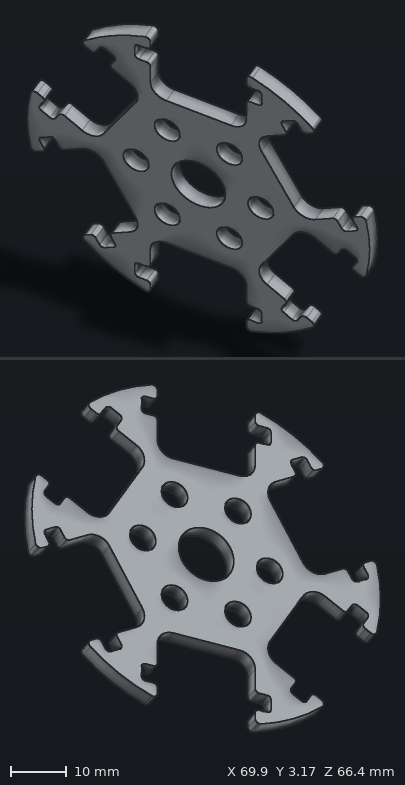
import cadquery as cq
import math

plate_thickness = 3.175
outer_radius = 34.925
arm_count = 6
arm_pitch = 360.0 / arm_count

pocket_half_width = 9.78
pocket_floor_distance = 18.6
pocket_corner_radius = 3.175

notch_depth = 3.175
notch_inner_distance = 26.7
notch_width = 3.6
tip_radius = 0.9
notch_radius = 0.8

centre_hole_diameter = 11.0
bolt_hole_diameter = 5.2
bolt_circle_radius = 12.7

cut_length = 2.0 * plate_thickness
pocket_open_end = outer_radius + plate_thickness


def block(x_size, y_size, z_low, z_high):
    """Box centred on X and Y, spanning z_low to z_high."""
    height = z_high - z_low
    return cq.Workplane("XY").box(x_size, y_size, height).translate((0, 0, (z_low + z_high) / 2.0))


def y_cylinder(diameter, length):
    """Cylinder along Y, centred on the origin; the XZ workplane extrudes toward -Y."""
    return cq.Workplane("XZ", origin=(0, length / 2.0, 0)).circle(diameter / 2.0).extrude(length)


def turned(shape, angle):
    """Shape turned about the plate axis."""
    return shape.rotate((0, 0, 0), (0, 1, 0), angle)


def pocket_cutter():
    """Pocket on the +Z side together with its two side notches."""
    pocket = block(2.0 * pocket_half_width, cut_length, pocket_floor_distance, pocket_open_end)
    notches = block(
        2.0 * (pocket_half_width + notch_depth),
        cut_length,
        notch_inner_distance,
        notch_inner_distance + notch_width,
    )
    return pocket.union(notches)


def edges_at_radius(body, radius):
    """Thickness-direction edges lying at the given distance from the plate axis."""
    tolerance = 0.01

    def is_on_radius(edge):
        centre = edge.Center()
        return abs(math.hypot(centre.x, centre.z) - radius) < tolerance

    return body.edges("|Y").filter(is_on_radius)


def round_corners(body):
    """Round the pocket floors, the notches and the arm tips."""
    notch_outer_distance = notch_inner_distance + notch_width
    notch_floor = pocket_half_width + notch_depth
    corner_rounds = [
        (math.hypot(pocket_half_width, pocket_floor_distance), pocket_corner_radius),
        (math.hypot(pocket_half_width, notch_inner_distance), notch_radius),
        (math.hypot(notch_floor, notch_inner_distance), notch_radius),
        (math.hypot(notch_floor, notch_outer_distance), notch_radius),
        (math.hypot(pocket_half_width, notch_outer_distance), notch_radius),
        (outer_radius, tip_radius),
    ]
    for corner_distance, round_radius in corner_rounds:
        body = edges_at_radius(body, corner_distance).fillet(round_radius)
    return body


def cut_holes(body):
    """Centre hole and one bolt hole in line with every arm."""
    body = body.cut(y_cylinder(centre_hole_diameter, cut_length))
    bolt_hole = y_cylinder(bolt_hole_diameter, cut_length).translate((bolt_circle_radius, 0, 0))
    for index in range(arm_count):
        body = body.cut(turned(bolt_hole, index * arm_pitch))
    return body


plate = turned(y_cylinder(2.0 * outer_radius, plate_thickness), arm_pitch / 2.0)
for index in range(arm_count):
    plate = plate.cut(turned(pocket_cutter(), index * arm_pitch))
plate = round_corners(plate)

result = cut_holes(plate)